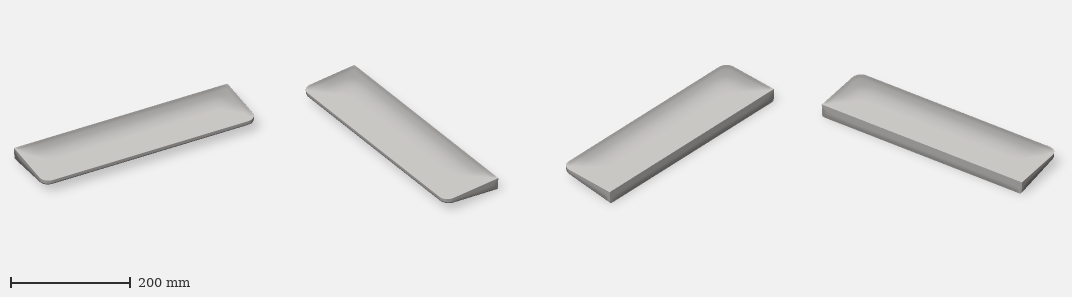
import cadquery as cq
import math

length = 400.0
depth = 110.0
back_height = 24.8
front_height = 9.5

draft_angle = 2.0
corner_radius = 17.0
top_edge_radius = 0.5
bottom_radius = 4.5

draft = math.radians(draft_angle)
rounding_loss = top_edge_radius * (math.tan(draft) + 1 / math.cos(draft) - 1)
half_length = length / 2 + rounding_loss
front_x = depth + rounding_loss


def make_drafted_block():
    """Upright block with two rounded front corners, narrowing toward the bottom.

    It runs past the back plane, so that trimming leaves the back upright and square.
    """
    arc_start_x = front_x - corner_radius
    arc_end_y = half_length - corner_radius
    arc_reach = corner_radius * math.sqrt(0.5)
    arc_middle = (arc_start_x + arc_reach, arc_end_y + arc_reach)
    return (
        cq.Workplane("XY", origin=(0, 0, back_height))
        .moveTo(-depth, -half_length)
        .lineTo(arc_start_x, -half_length)
        .threePointArc((arc_middle[0], -arc_middle[1]), (front_x, -arc_end_y))
        .lineTo(front_x, arc_end_y)
        .threePointArc(arc_middle, (arc_start_x, half_length))
        .lineTo(-depth, half_length)
        .close()
        .extrude(-back_height, taper=draft_angle)
    )


def make_side_profile():
    """Wedge section, thick at the back, swept past both ends of the shelf."""
    front_bottom = back_height - front_height
    corners = [(0, 0), (front_x, front_bottom), (front_x, back_height), (0, back_height)]
    return cq.Workplane("XZ").polyline(corners).close().extrude(length, both=True)


def make_shelf():
    """Wedge-shaped shelf with softened edges everywhere except around the back face."""
    shelf = make_drafted_block().intersect(make_side_profile())
    shelf = shelf.faces("<Z").edges("not <X").fillet(bottom_radius)
    return shelf.faces(">Z").edges("not <X").fillet(top_edge_radius)


shelf = make_shelf()

result = cq.Compound.makeCompound([shelf.val()])